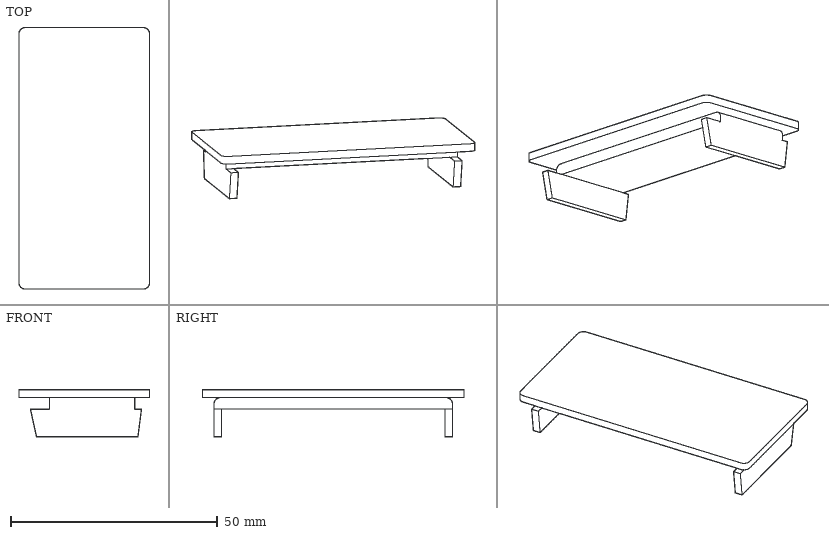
import cadquery as cq

plate_width = 31.75
plate_length = 63.5
plate_thickness = 1.905
plate_corner_radius = 1.5875

overall_height = 11.43

block_height = 2.794
block_end_inset = 2.794
block_left_inset = 7.43
block_right_inset = 3.62
block_edge_radius = 1.5875

leg_thickness = 1.905
leg_top_left_inset = 2.794
leg_top_right_inset = 1.96
leg_bottom_left_inset = 4.27
leg_bottom_right_inset = 2.83

left_edge = -plate_width / 2
right_edge = plate_width / 2
block_top = -plate_thickness
block_bottom = block_top - block_height
block_half_length = plate_length / 2 - block_end_inset


def make_plate():
    return (
        cq.Workplane("XY")
        .workplane(offset=-plate_thickness)
        .rect(plate_width, plate_length)
        .extrude(plate_thickness)
        .edges("|Z")
        .fillet(plate_corner_radius)
    )


def make_block():
    """Block with its two upper end edges rounded."""
    block_left = left_edge + block_left_inset
    block_width = plate_width - block_left_inset - block_right_inset
    return (
        cq.Workplane("XY", origin=(block_left, -block_half_length, block_bottom))
        .box(block_width, 2 * block_half_length, block_height, centered=False)
        .edges("|X and >Z")
        .fillet(block_edge_radius)
    )


def make_leg(front_y):
    """Leg narrowing downward, spanning leg_thickness in +Y from front_y."""
    leg_bottom = -overall_height
    outline = [
        (left_edge + leg_top_left_inset, block_bottom),
        (right_edge - leg_top_right_inset, block_bottom),
        (right_edge - leg_bottom_right_inset, leg_bottom),
        (left_edge + leg_bottom_left_inset, leg_bottom),
    ]
    return (
        cq.Workplane("XZ", origin=(0, front_y, 0))
        .polyline(outline)
        .close()
        .extrude(-leg_thickness)
    )


result = make_plate().union(make_block())
for leg_front_y in (-block_half_length, block_half_length - leg_thickness):
    result = result.union(make_leg(leg_front_y))